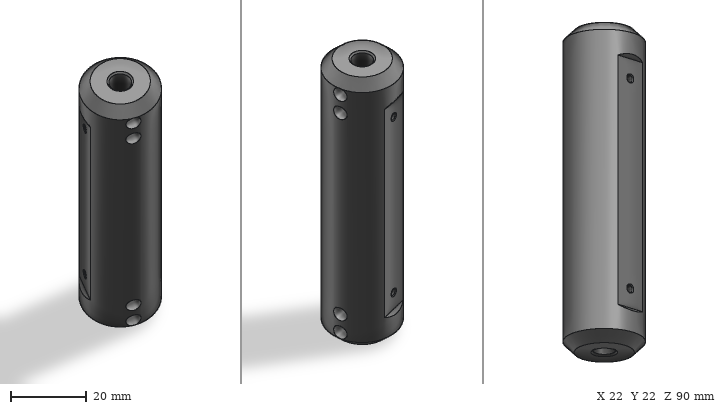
import cadquery as cq

LENGTH = 90.0
BODY_DIAMETER = 22.0
BODY_RADIUS = BODY_DIAMETER / 2
END_CHAMFER = 3.0

FLAT_OFFSET = 10.0
FLAT_END_MARGIN = 10.0

CROSS_HOLE_DIAMETER = 2.0
CROSS_HOLE_MOUTH_DIAMETER = 2.5
CROSS_HOLE_END_MARGIN = 15.5

BORE_DIAMETER = 3.7
SOCKET_DIAMETER = 6.0
SOCKET_MOUTH_DIAMETER = 7.0
SOCKET_DEPTH = 14.0

SCREW_HOLE_DIAMETER = 4.2
SCREW_HOLE_END_MARGINS = (5.0, 11.2)


def make_body():
    """Bar with a 45 degree chamfer around both ends."""
    return cq.Workplane("XY").circle(BODY_RADIUS).extrude(LENGTH).edges("%CIRCLE").chamfer(END_CHAMFER)


def make_flat_cutter(side):
    """Prism that clears the material beyond one flat; side is -1 or +1 along Y."""
    depth = BODY_RADIUS - FLAT_OFFSET
    inner_y = side * FLAT_OFFSET
    outer_y = side * BODY_RADIUS
    low_z = FLAT_END_MARGIN
    high_z = LENGTH - FLAT_END_MARGIN
    return (
        cq.Workplane("YZ")
        .polyline([(inner_y, low_z), (inner_y, high_z), (outer_y, high_z + depth), (outer_y, low_z - depth)])
        .close()
        .extrude(BODY_RADIUS, both=True)
    )


def make_countersunk_hole(origin, direction, diameter, mouth_diameter, depth):
    """Hole from origin along direction, with a 45 degree countersink at its mouth."""
    plane = cq.Plane(origin=origin, xDir=(1, 0, 0), normal=direction)
    radius = diameter / 2
    mouth_radius = mouth_diameter / 2
    countersink_depth = mouth_radius - radius
    profile = [(0, 0), (mouth_radius, 0), (radius, countersink_depth), (radius, depth), (0, depth)]
    hole = cq.Workplane("XY").polyline(profile).close().revolve(360, (0, 0), (0, 1))
    upright_hole = hole.rotate((0, 0, 0), (1, 0, 0), 90).val()
    return cq.Workplane(upright_hole.moved(cq.Location(plane)))


def make_cross_hole_half(side, height):
    """Countersunk hole from one flat to the axis; the two sides meet there."""
    mouth_center = (0, side * FLAT_OFFSET, height)
    inward = (0, -side, 0)
    return make_countersunk_hole(
        mouth_center, inward, CROSS_HOLE_DIAMETER, CROSS_HOLE_MOUTH_DIAMETER, FLAT_OFFSET
    )


def make_socket(end_z, direction_z):
    """Countersunk socket running inwards from one end face."""
    return make_countersunk_hole(
        (0, 0, end_z), (0, 0, direction_z), SOCKET_DIAMETER, SOCKET_MOUTH_DIAMETER, SOCKET_DEPTH
    )


def make_screw_hole(height):
    """Radial hole from the axis out through the +X side."""
    return cq.Workplane("YZ", origin=(0, 0, height)).circle(SCREW_HOLE_DIAMETER / 2).extrude(BODY_RADIUS)


result = make_body()

for flat_side in (-1, 1):
    result = result.cut(make_flat_cutter(flat_side))
    for hole_height in (CROSS_HOLE_END_MARGIN, LENGTH - CROSS_HOLE_END_MARGIN):
        result = result.cut(make_cross_hole_half(flat_side, hole_height))

result = result.cut(cq.Workplane("XY").circle(BORE_DIAMETER / 2).extrude(LENGTH))
result = result.cut(make_socket(0, 1))
result = result.cut(make_socket(LENGTH, -1))

for margin in SCREW_HOLE_END_MARGINS:
    for hole_height in (margin, LENGTH - margin):
        result = result.cut(make_screw_hole(hole_height))